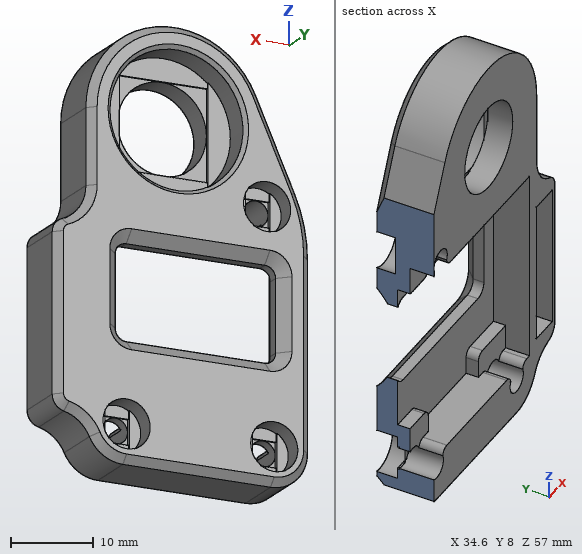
import cadquery as cq
import math

height = 57.0
thickness = 8.0
head_radius = 12.0
left_x = -18.0
right_x = 16.6
bottom_z = head_radius - height
rim_chamfer = 1.0

shoulder_radius = 20.0
shoulder_z = -15.1
corner_radius = 5.0
right_corner_x = 7.0
lug_corner_radius = 2.0
lug_blend_radius = 5.0

pocket_depth = 5.0
pocket_left = -16.25
pocket_right = 10.2
pocket_top = -11.1
pocket_bottom = -38.4

lug_mid_z = -26.95
lug_height = 24.8
slot_width = 4.0
slot_height = 20.0
slot_x = 13.9

pad_thickness = 1.7
pad_height = 3.4
left_pad_width = 7.05
right_pad_width = 6.85
pad_corner_radius = 1.0
pad_face_y = pocket_depth - pad_thickness

window_left = -13.9
window_right = 7.8
window_top = -16.45
window_bottom = -29.0
window_radius = 1.5
window_chamfer = 1.5

bore_diameter = 12.0
counterbore_diameter = 18.0
counterbore_depth = 4.0
counterbore_chamfer = 0.5

screw_diameter = 3.3
screw_head_diameter = 6.4
screw_head_depth = 2.6
top_screw_x = -12.0
bottom_screw_xs = (-13.0, right_corner_x)
mouth_half_width = 1.5
lip_radius = 1.0

relief_depth = 0.5


def along(start, end, distance):
    """Point at a given distance from start toward end."""
    span = math.dist(start, end)
    return tuple(s + (e - s) * distance / span for s, e in zip(start, end))


def polar(center, radius, angle):
    """Point on a circle; the angle is in radians from +X toward +Z."""
    return center[0] + radius * math.cos(angle), center[1] + radius * math.sin(angle)


def arc(center, start, end):
    """Middle and end point of the short arc from start to end."""
    chord_middle = ((start[0] + end[0]) / 2, (start[1] + end[1]) / 2)
    return along(center, chord_middle, math.dist(center, start)), end


def prism(sketch, y0, y1):
    """Extrude a sketch drawn on the XZ plane between two Y positions."""
    return sketch.extrude(y0 - y1).translate((0, y0, 0))


def box(x0, x1, z0, z1, y0, y1):
    sketch = cq.Workplane("XZ").center((x0 + x1) / 2, (z0 + z1) / 2).rect(x1 - x0, z1 - z0)
    return prism(sketch, y0, y1)


def cylinder(x, z, diameter, y0, y1):
    return prism(cq.Workplane("XZ").center(x, z).circle(diameter / 2), y0, y1)


def make_body():
    """Plate with a round head, a slanted left side and a lug on the right, chamfered at the back."""
    head = (0, 0)
    shoulder = (left_x + shoulder_radius, shoulder_z)
    left_corner = (left_x + corner_radius, bottom_z + corner_radius)
    right_corner = (right_corner_x, bottom_z + corner_radius)
    lug_x = right_x - lug_corner_radius
    lug_arc_offset = lug_height / 2 - lug_corner_radius
    lug_top = (lug_x, lug_mid_z + lug_arc_offset)
    lug_bottom = (lug_x, lug_mid_z - lug_arc_offset)

    lug_reach = lug_blend_radius + lug_corner_radius
    upper_x = head_radius + lug_blend_radius
    upper_blend = (upper_x, lug_top[1] + math.sqrt(lug_reach**2 - (upper_x - lug_x) ** 2))

    corner_reach = lug_blend_radius + corner_radius
    gap = math.dist(right_corner, lug_bottom)
    heading = math.atan2(lug_bottom[1] - right_corner[1], lug_bottom[0] - right_corner[0])
    swing = math.acos((corner_reach**2 + gap**2 - lug_reach**2) / (2 * corner_reach * gap))
    lower_blend = polar(right_corner, corner_reach, heading - swing)

    shoulder_heading = math.atan2(shoulder[1], shoulder[0])
    turn = math.acos((head_radius - shoulder_radius) / math.dist(head, shoulder))
    slant_normal = shoulder_heading - turn
    head_touch = polar(head, head_radius, slant_normal)
    shoulder_touch = polar(shoulder, shoulder_radius, slant_normal)

    head_right = (head_radius, 0)
    upper_start = (head_radius, upper_blend[1])
    upper_end = along(upper_blend, lug_top, lug_blend_radius)
    lug_side_top = (right_x, lug_top[1])
    lug_side_bottom = (right_x, lug_bottom[1])
    lower_start = along(lower_blend, lug_bottom, lug_blend_radius)
    lower_end = along(lower_blend, right_corner, lug_blend_radius)
    base_right = (right_corner[0], bottom_z)
    base_left = (left_corner[0], bottom_z)
    side_bottom = (left_x, left_corner[1])
    side_top = (left_x, shoulder_z)

    outline = (
        cq.Workplane("XZ")
        .moveTo(*head_touch)
        .threePointArc((0, head_radius), head_right)
        .lineTo(*upper_start)
        .threePointArc(*arc(upper_blend, upper_start, upper_end))
        .threePointArc(*arc(lug_top, upper_end, lug_side_top))
        .lineTo(*lug_side_bottom)
        .threePointArc(*arc(lug_bottom, lug_side_bottom, lower_start))
        .threePointArc(*arc(lower_blend, lower_start, lower_end))
        .threePointArc(*arc(right_corner, lower_end, base_right))
        .lineTo(*base_left)
        .threePointArc(*arc(left_corner, base_left, side_bottom))
        .lineTo(*side_top)
        .threePointArc(*arc(shoulder, side_top, shoulder_touch))
        .close()
    )
    return prism(outline, 0, thickness).faces(">Y").chamfer(rim_chamfer)


def make_stepped_hole(x, z, diameter, wide_diameter, wide_depth):
    """Through hole counterbored from the back, with a two-step relief at the counterbore's foot.

    The step next to the hole is a square; the step next to the counterbore
    is a slot with the same side walls, running the full height of the counterbore.
    """
    radius = diameter / 2
    wide_radius = wide_diameter / 2
    seat_y = thickness - wide_depth
    step_y = seat_y - relief_depth / 2
    hole = cylinder(x, z, diameter, 0, thickness)
    counterbore = cylinder(x, z, wide_diameter, seat_y, thickness)
    square = box(x - radius, x + radius, z - radius, z + radius, seat_y - relief_depth, seat_y)
    slot_blank = box(x - radius, x + radius, z - wide_radius, z + wide_radius, step_y, seat_y)
    slot_step = slot_blank.intersect(cylinder(x, z, wide_diameter, step_y, seat_y))
    return hole.union(counterbore).union(square).union(slot_step)


def make_bore():
    """Stepped bore through the head, chamfered where it leaves the back face."""
    bore = make_stepped_hole(0, 0, bore_diameter, counterbore_diameter, counterbore_depth)
    back_plane = cq.Workplane("XZ", origin=(0, thickness, 0))
    rim_radius = counterbore_diameter / 2 + counterbore_chamfer
    return bore.union(back_plane.circle(rim_radius).extrude(counterbore_chamfer, taper=45))


def make_pocket():
    """Rectangular pocket that leaves a pad in each corner, rounded at its free corner."""
    pocket = box(pocket_left, pocket_right, pocket_bottom, pocket_top, 0, pocket_depth)
    columns = (
        (pocket_left, pocket_left + left_pad_width, ">X"),
        (pocket_right - right_pad_width, pocket_right, "<X"),
    )
    rows = (
        (pocket_top - pad_height, pocket_top, "<Z"),
        (pocket_bottom, pocket_bottom + pad_height, ">Z"),
    )
    for x0, x1, free_side in columns:
        for z0, z1, free_end in rows:
            pad = box(x0, x1, z0, z1, pad_face_y, pocket_depth)
            pad = pad.edges(f"|Y and {free_side} and {free_end}").fillet(pad_corner_radius)
            pocket = pocket.cut(pad)
    return pocket


def make_lug_slot():
    slot = cq.Workplane("XZ").center(slot_x, lug_mid_z).rect(slot_width, slot_height)
    return prism(slot, 0, pocket_depth)


def make_window():
    """Rounded window, chamfered where it leaves the back face."""
    window = box(window_left, window_right, window_bottom, window_top, 0, thickness)
    window = window.edges("|Y").fillet(window_radius)
    flare = (
        cq.Workplane("XZ", origin=(0, thickness, 0))
        .center((window_left + window_right) / 2, (window_bottom + window_top) / 2)
        .sketch()
        .rect(
            window_right - window_left + 2 * window_chamfer,
            window_top - window_bottom + 2 * window_chamfer,
        )
        .vertices()
        .fillet(window_radius + window_chamfer)
        .finalize()
        .extrude(window_chamfer, taper=45)
    )
    return window.union(flare)


def make_screw_hole(x, wall_z, outward):
    """Counterbored hole beyond a pocket wall, with a round-lipped mouth into the pocket.

    outward is +1 for the top wall and -1 for the bottom wall.
    """
    center_z = wall_z + outward * screw_diameter / 2
    hole = make_stepped_hole(x, center_z, screw_diameter, screw_head_diameter, screw_head_depth)

    lip_z = wall_z + outward * lip_radius
    lip_offset = mouth_half_width + lip_radius
    left_lip = (x - lip_offset, lip_z)
    right_lip = (x + lip_offset, lip_z)
    left_wall = (x - lip_offset, wall_z)
    right_wall = (x + lip_offset, wall_z)
    left_inner = (x - mouth_half_width, lip_z)
    right_inner = (x + mouth_half_width, lip_z)
    mouth = (
        cq.Workplane("XZ")
        .moveTo(*left_wall)
        .threePointArc(*arc(left_lip, left_wall, left_inner))
        .lineTo(x - mouth_half_width, center_z)
        .lineTo(x + mouth_half_width, center_z)
        .lineTo(*right_inner)
        .threePointArc(*arc(right_lip, right_inner, right_wall))
        .close()
    )
    return hole.union(prism(mouth, 0, pad_face_y))


result = make_body().cut(make_bore()).cut(make_pocket()).cut(make_lug_slot()).cut(make_window())
result = result.cut(make_screw_hole(top_screw_x, pocket_top, 1))
for screw_x in bottom_screw_xs:
    result = result.cut(make_screw_hole(screw_x, pocket_bottom, -1))